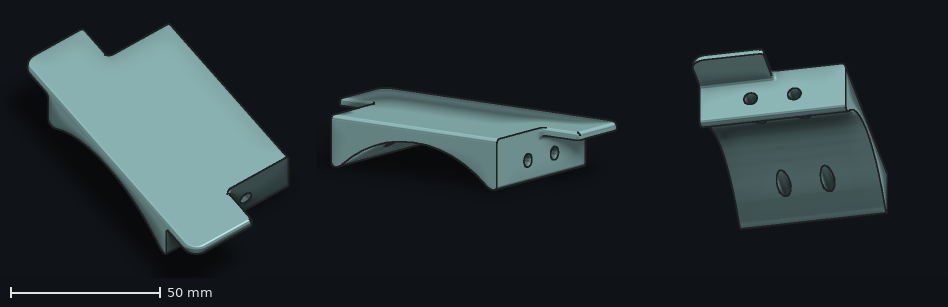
import cadquery as cq
import math

plate_length = 100.0
body_depth = 50.0
height = 17.5

edge_radius = 1.5

plate_depth = body_depth / 2
plate_thickness = 2.6
plate_corner_radius = 5.0
plate_rear_corner_radius = 1.4
plate_rear_edge_radius = 1.3

body_length = 69.0
leg_corner_radius = 1.5
crown_thickness = 5.2
saddle_radius = 46.0
junction_radius = 1.8

hole_diameter = 4.5
hole_spacing = 15.0
hole_drop = 10.0

front_y = -body_depth / 2
rear_y = body_depth / 2
half_body = body_length / 2
plate_rear_y = front_y + plate_depth
trim_height = 6.0
trim_length = 10.0


def make_plate():
    """Plate with a rounded rear, run past the front face for later trimming."""
    plate = (
        cq.Workplane("XY")
        .box(plate_length, plate_depth + trim_length, plate_thickness, centered=(True, False, False))
        .translate((0, front_y - trim_length, -plate_thickness))
    )
    plate = plate.edges("|Z and >Y").fillet(plate_rear_corner_radius)
    return plate.faces(">Z").edges("not <Y").fillet(plate_rear_edge_radius)


def make_body():
    """Saddle section run along Y, with side walls reaching above the top face."""
    saddle_center_z = -crown_thickness - saddle_radius
    tip_x = half_body - leg_corner_radius
    rise = -height - saddle_center_z
    tip_radius = (tip_x**2 + rise**2 - saddle_radius**2) / (2 * (saddle_radius - rise))
    tip_center_z = -height + tip_radius
    ratio = saddle_radius / (saddle_radius + tip_radius)
    blend_x = tip_x * ratio
    blend_z = saddle_center_z + (tip_center_z - saddle_center_z) * ratio
    blend_angle = math.atan2(tip_x, tip_center_z - saddle_center_z) / 2
    tip_mid_x = tip_x - tip_radius * math.sin(blend_angle)
    tip_mid_z = tip_center_z - tip_radius * math.cos(blend_angle)
    corner_inset = leg_corner_radius * (1 - math.sqrt(0.5))
    outer_mid = (half_body - corner_inset, -height + corner_inset)
    outer_end_z = -height + leg_corner_radius

    return (
        cq.Workplane("XZ", origin=(0, rear_y, 0))
        .moveTo(-half_body, trim_height)
        .lineTo(-half_body, outer_end_z)
        .threePointArc((-outer_mid[0], outer_mid[1]), (-tip_x, -height))
        .threePointArc((-tip_mid_x, tip_mid_z), (-blend_x, blend_z))
        .threePointArc((0, -crown_thickness), (blend_x, blend_z))
        .threePointArc((tip_mid_x, tip_mid_z), (tip_x, -height))
        .threePointArc(outer_mid, (half_body, outer_end_z))
        .lineTo(half_body, trim_height)
        .close()
        .extrude(body_depth + trim_length)
    )


def blend_plate_into_body(plate, body):
    """Fillet the plate into both side walls, underneath and around its rear edge."""
    joined = body.union(plate)
    margin = 0.1
    for side in (-1, 1):
        around_wall = cq.selectors.BoxSelector(
            (side * half_body - margin, front_y - trim_length - margin, -plate_thickness - margin),
            (side * half_body + margin, plate_rear_y + margin, margin),
            boundingbox=True,
        )
        wall_edges = joined.edges(around_wall).edges("not <Y")
        joined = wall_edges.fillet(junction_radius)
    return joined


def round_junction_corner(part):
    """Sweep the junction fillet around the lower rear plate edge in place of a mitre."""
    reach = junction_radius
    flare = (
        cq.Workplane("XY")
        .lineTo(reach, 0)
        .radiusArc((0, reach), reach)
        .close()
        .revolve(360, (0, 0, 0), (1, 0, 0))
    )
    excess = cq.Workplane("XY").box(reach, reach, reach, centered=False)
    excess = excess.translate((0, 0, -reach)).cut(flare)
    excess = excess.translate((half_body, plate_rear_y, -plate_thickness))
    return part.cut(excess).cut(excess.mirror("YZ"))


def make_envelope():
    """Block that trims the front and top and rounds the outer top edges."""
    envelope = (
        cq.Workplane("XY")
        .box(plate_length, body_depth, height, centered=(True, True, False))
        .translate((0, 0, -height))
    )
    envelope = envelope.edges("|Z and <Y").fillet(plate_corner_radius)
    return envelope.faces(">Z").edges().fillet(edge_radius)


def drill_cross_holes(part):
    holes = (
        cq.Workplane("YZ")
        .pushPoints([(-hole_spacing / 2, -hole_drop), (hole_spacing / 2, -hole_drop)])
        .circle(hole_diameter / 2)
        .extrude(plate_length, both=True)
    )
    return part.cut(holes)


result = blend_plate_into_body(make_plate(), make_body())
result = round_junction_corner(result)
result = result.intersect(make_envelope())
result = drill_cross_holes(result)